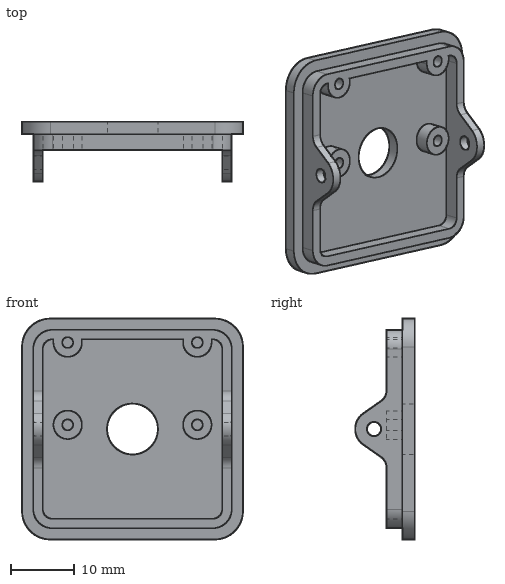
import cadquery as cq
import math

plate_size = 35.0
plate_corner_radius = 4.5
plate_thickness = 2.0
total_depth = 9.5
back_y = total_depth / 2

rim_size = 31.4
rim_corner_radius = 3.0
rim_wall = 1.5
rim_height = 2.52
recess_size = rim_size - 2 * rim_wall
recess_corner_radius = rim_corner_radius - rim_wall
floor_y = back_y - plate_thickness
rim_face_y = floor_y - rim_height

opening_diameter = 8.0

boss_diameter = 4.5
boss_hole_diameter = 1.7
boss_half_spacing = 10.25
upper_boss_z = 13.7
lower_boss_z = 0.65

ear_radius = 3.0
ear_hole_diameter = 2.2
ear_root_radius = 2.0
ear_root_half_width = 6.1
ear_tip_y = back_y - total_depth
ear_center_y = ear_tip_y + ear_radius


def rounded_square(size, corner_radius, start_y, height):
    """Square block with rounded corners, extending from start_y toward -Y."""
    return (
        cq.Workplane("XZ", origin=(0, start_y, 0))
        .rect(size, size)
        .extrude(height)
        .edges("|Y")
        .fillet(corner_radius)
    )


def cylinder_y(diameter, x, z, start_y, height):
    """Cylinder extending from start_y toward -Y."""
    return cq.Workplane("XZ", origin=(x, start_y, z)).circle(diameter / 2).extrude(height)


def make_boss(x, z):
    return cylinder_y(boss_diameter, x, z, floor_y, rim_height)


def make_wall_web(x):
    """Straight-sided web joining an upper boss to the rim wall."""
    web_length = recess_size / 2 + rim_wall / 2 - upper_boss_z
    return cq.Workplane("XY").box(
        boss_diameter, rim_height, web_length, centered=(True, False, False)
    ).translate((x, rim_face_y, upper_boss_z))


def make_ear(x_start):
    """Ear whose straight flanks run tangent to the rounded tip and the concave roots."""
    root_center_y = rim_face_y - ear_root_radius
    center_dy = root_center_y - ear_center_y
    center_distance = math.hypot(center_dy, ear_root_half_width)
    normal_angle = math.atan2(ear_root_half_width, center_dy) + math.acos(
        (ear_radius + ear_root_radius) / center_distance
    )

    def on_tip(angle):
        return (ear_center_y + ear_radius * math.cos(angle), ear_radius * math.sin(angle))

    def on_root(angle):
        return (
            root_center_y - ear_root_radius * math.cos(angle),
            ear_root_half_width - ear_root_radius * math.sin(angle),
        )

    def mirrored(point):
        return (point[0], -point[1])

    root_end = on_root(normal_angle)
    root_middle = on_root((math.pi + normal_angle) / 2)
    tip_start = on_tip(normal_angle)
    root_start = (rim_face_y, ear_root_half_width)
    return (
        cq.Workplane("YZ", origin=(x_start, 0, 0))
        .moveTo(floor_y, ear_root_half_width)
        .lineTo(*root_start)
        .threePointArc(root_middle, root_end)
        .lineTo(*tip_start)
        .threePointArc((ear_tip_y, 0), mirrored(tip_start))
        .lineTo(*mirrored(root_end))
        .threePointArc(mirrored(root_middle), mirrored(root_start))
        .lineTo(floor_y, -ear_root_half_width)
        .close()
        .extrude(rim_wall)
    )


plate = rounded_square(plate_size, plate_corner_radius, back_y, plate_thickness)
rim = rounded_square(rim_size, rim_corner_radius, floor_y, rim_height)
recess = rounded_square(recess_size, recess_corner_radius, floor_y, rim_height)
body = plate.union(rim.cut(recess))

for side in (-1, 1):
    boss_x = side * boss_half_spacing
    upper_boss = make_boss(boss_x, upper_boss_z).union(make_wall_web(boss_x)).intersect(rim)
    body = body.union(upper_boss).union(make_boss(boss_x, lower_boss_z))

for side in (-1, 1):
    for boss_z in (upper_boss_z, lower_boss_z):
        body = body.cut(
            cylinder_y(boss_hole_diameter, side * boss_half_spacing, boss_z, floor_y, rim_height)
        )

for ear_x in (-rim_size / 2, recess_size / 2):
    body = body.union(make_ear(ear_x))

ear_holes = (
    cq.Workplane("YZ")
    .center(ear_center_y, 0)
    .circle(ear_hole_diameter / 2)
    .extrude(rim_size / 2, both=True)
)
opening = cylinder_y(opening_diameter, 0, 0, back_y, plate_thickness)
result = body.cut(ear_holes).cut(opening)